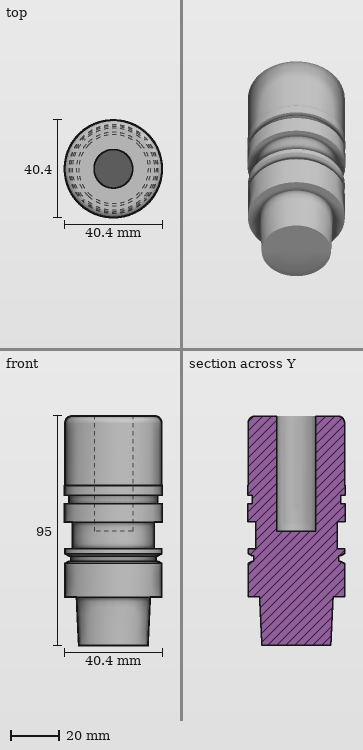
import cadquery as cq

total_height = 95.0
ring_radius = 20.2
body_radius = 20.0
ring_groove_radius = 18.4
neck_radius = 17.0
v_groove_mouth_radius = 18.2
v_groove_floor_radius = 17.7

shank_length = 20.1
shank_tip_radius = 14.3
shank_root_radius = 15.3

lower_flange_top = 34.0
v_groove_floor_bottom = 35.0
v_groove_floor_top = 37.05
upper_flange_bottom = 38.1
upper_flange_top = 40.2
lower_ring_bottom = 51.1
lower_ring_top = 58.7
upper_ring_bottom = 62.1
head_bottom = 66.4
ring_bevel_height = 0.3

head_fillet = 3.0
bore_diameter = 16.0
bore_depth = 47.5


def cylinder(radius, bottom, top):
    """Coaxial cylinder between two heights."""
    return cq.Workplane("XY").workplane(offset=bottom).circle(radius).extrude(top - bottom)


def make_shank_and_flanges():
    """Revolved shank taper and the two flanges with the V-groove between them."""
    profile = [
        (0, 0),
        (shank_tip_radius, 0),
        (shank_root_radius, shank_length),
        (body_radius, shank_length),
        (body_radius, lower_flange_top),
        (v_groove_mouth_radius, v_groove_floor_bottom),
        (v_groove_floor_radius, v_groove_floor_bottom),
        (v_groove_floor_radius, v_groove_floor_top),
        (v_groove_mouth_radius, v_groove_floor_top),
        (body_radius, upper_flange_bottom),
        (body_radius, upper_flange_top),
        (0, upper_flange_top),
    ]
    return cq.Workplane("XZ").polyline(profile).close().revolve(360, (0, 0), (0, 1))


def make_neck_and_rings():
    """Plain neck carrying two rings separated by a square groove."""
    neck = cylinder(neck_radius, upper_flange_top, lower_ring_bottom)
    lower_ring = cylinder(ring_radius, lower_ring_bottom, lower_ring_top)
    groove_core = cylinder(ring_groove_radius, lower_ring_top, upper_ring_bottom)
    upper_ring = cylinder(ring_radius, upper_ring_bottom, head_bottom)
    bevel_width = ring_radius - body_radius
    upper_ring = upper_ring.faces(">Z").chamfer(ring_bevel_height, bevel_width)
    return neck.union(lower_ring).union(groove_core).union(upper_ring)


def make_head():
    """Cylindrical head with a rounded top rim."""
    return cylinder(body_radius, head_bottom, total_height).faces(">Z").edges().fillet(head_fillet)


body = make_shank_and_flanges().union(make_neck_and_rings()).union(make_head())
result = body.cut(cylinder(bore_diameter / 2, total_height - bore_depth, total_height))